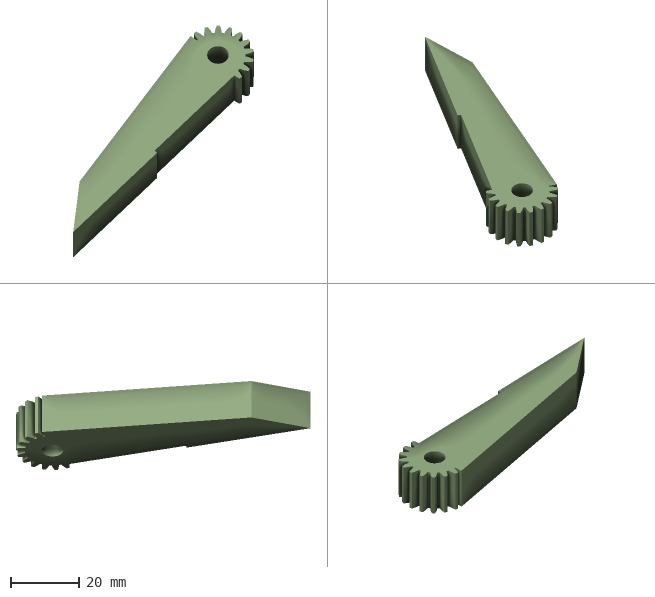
import cadquery as cq
import math

thickness = 12.7
length = 86.8

tip_radius = 10.6
root_radius = 8.1
flank_radius = 9.5
tooth_root_half = 1.0
tooth_flank_half = 0.825
tooth_tip_half = 0.48
full_circle_teeth = 18
tooth_pitch = 360 / full_circle_teeth
first_tooth_angle = -tooth_pitch / 2
tooth_count = 10
hole_diameter = 6.3

left_corner_x = -tip_radius
upper_right_x = 8.4
lower_right_x = 9.5
shoulder_y = -2.5
step_y = -38.4
kink_x = -1.0
kink_y = -61.1
point_y = tip_radius - length


def on_circle(radius, half_width):
    """Point on a circle at a given offset from the X axis."""
    return (math.sqrt(radius**2 - half_width**2), half_width)


def gear_tooth(angle):
    """Tooth pointing along +X, rooted inside the disc, turned to its angle."""
    root_x, root_y = on_circle(root_radius, tooth_root_half)
    flank_x, flank_y = on_circle(flank_radius, tooth_flank_half)
    tip_x, tip_y = on_circle(tip_radius, tooth_tip_half)
    return (
        cq.Workplane("XY")
        .moveTo(0, -root_y)
        .lineTo(root_x, -root_y)
        .threePointArc((flank_x, -flank_y), (tip_x, -tip_y))
        .threePointArc((tip_radius, 0), (tip_x, tip_y))
        .threePointArc((flank_x, flank_y), (root_x, root_y))
        .lineTo(0, root_y)
        .close()
        .extrude(thickness)
        .rotate((0, 0, 0), (0, 0, 1), angle)
    )


arm_outline = [
    (0, 0),
    (left_corner_x, 0),
    (kink_x, kink_y),
    (lower_right_x, point_y),
    (lower_right_x, step_y),
    (upper_right_x, step_y),
    (upper_right_x, shoulder_y),
]
arm = cq.Workplane("XY").polyline(arm_outline).close().extrude(thickness)

result = arm.union(cq.Workplane("XY").circle(root_radius).extrude(thickness))
for index in range(tooth_count):
    result = result.union(gear_tooth(first_tooth_angle + index * tooth_pitch))

pivot_hole = cq.Workplane("XY").circle(hole_diameter / 2).extrude(thickness)
result = result.cut(pivot_hole)